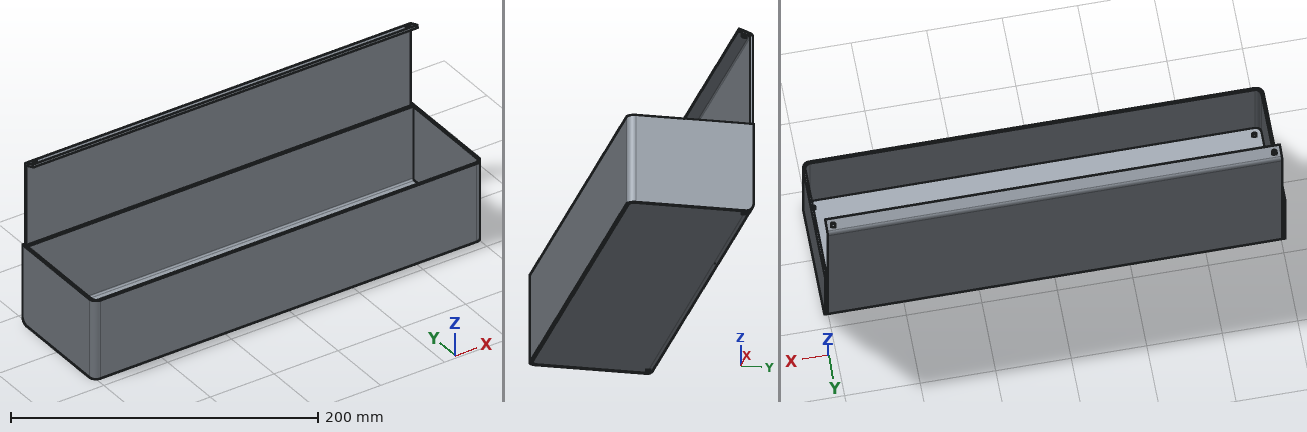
import cadquery as cq
import math

length = 305.0
depth = 84.0
height = 127.2
box_height = 60.7

wall = 1.5
sheet = 1.98
bend_radius = 5.2
corner_inner_radius = bend_radius - wall
inner_bend_radius = bend_radius - sheet
liner_inner_radius = bend_radius - 2 * sheet

lip_reach = 10.0
lip_angle = math.radians(20)
lip_bend_radius = 3.0

hole_diameter = 3.0
hole_inset = 6.5
lip_hole_from_back = 5.2

inside_length = length - 2 * wall
panel_clearance = 0.45
panel_length = inside_length - 2 * panel_clearance


def extrude_along_length(points, span):
    """Extrude a (Y, Z) outline along X, centred on the middle of the box."""
    return cq.Workplane("YZ").polyline(points).close().extrude(span / 2, both=True)


def round_edge(body, y, z, radius):
    """Round the lengthwise edge that passes through (y, z)."""
    return body.edges(cq.selectors.NearestToPointSelector((0, y, z))).fillet(radius)


def round_front_corners(floor_body):
    """Round the front corners of a floor to fit the inside of the wrap."""
    return floor_body.edges("|Z and <Y").fillet(corner_inner_radius)


def cut_hole_pair(body, y):
    """Drill a vertical hole near each end, through everything at this Y."""
    hole_x = length / 2 - hole_inset
    drill = (
        cq.Workplane("XY")
        .pushPoints([(-hole_x, y), (hole_x, y)])
        .circle(hole_diameter / 2)
        .extrude(height)
    )
    return body.cut(drill)


def make_wrap():
    """Front wall and two side walls, bent from one strip."""
    outer = (
        cq.Workplane("XY")
        .box(length, depth, box_height, centered=(True, False, False))
        .edges("|Z and <Y")
        .fillet(bend_radius)
    )
    inner = (
        cq.Workplane("XY")
        .box(inside_length, depth, box_height, centered=(True, False, False))
        .translate((0, wall, 0))
        .edges("|Z and <Y")
        .fillet(corner_inner_radius)
    )
    return outer.cut(inner).edges("|X and >Y and <Z").fillet(bend_radius)


def make_back_panel():
    """Lower floor, tall back wall and sloping lip, bent from one sheet."""
    back_inside = depth - sheet
    tip_y = depth - lip_reach
    tip_top_y = tip_y + sheet * math.sin(lip_angle)
    tip_bottom_z = height - sheet * math.cos(lip_angle)
    outer_corner_z = height - (depth - tip_top_y) * math.tan(lip_angle)
    inner_corner_z = tip_bottom_z - (back_inside - tip_y) * math.tan(lip_angle)
    panel = extrude_along_length([
        (wall, 0),
        (depth, 0),
        (depth, outer_corner_z),
        (tip_top_y, height),
        (tip_y, tip_bottom_z),
        (back_inside, inner_corner_z),
        (back_inside, sheet),
        (wall, sheet),
    ], panel_length)
    panel = round_front_corners(panel)
    panel = round_edge(panel, depth, 0, bend_radius)
    panel = round_edge(panel, back_inside, sheet, inner_bend_radius)
    panel = round_edge(panel, depth, outer_corner_z, lip_bend_radius)
    panel = round_edge(panel, back_inside, inner_corner_z, lip_bend_radius - sheet)
    return cut_hole_pair(panel, depth - lip_hole_from_back)


def make_liner():
    """Upper floor and low back wall, nested in the bend of the back panel."""
    liner_back = depth - sheet
    liner_front = liner_back - sheet
    floor_top = 2 * sheet
    liner = extrude_along_length([
        (wall, sheet),
        (liner_back, sheet),
        (liner_back, box_height),
        (liner_front, box_height),
        (liner_front, floor_top),
        (wall, floor_top),
    ], inside_length)
    liner = round_front_corners(liner)
    liner = round_edge(liner, liner_back, sheet, inner_bend_radius)
    liner = round_edge(liner, liner_front, floor_top, liner_inner_radius)
    return cut_hole_pair(liner, hole_inset)


wrap = make_wrap()
back_panel = make_back_panel()
liner = make_liner()

result = cq.Compound.makeCompound([wrap.val(), back_panel.val(), liner.val()])